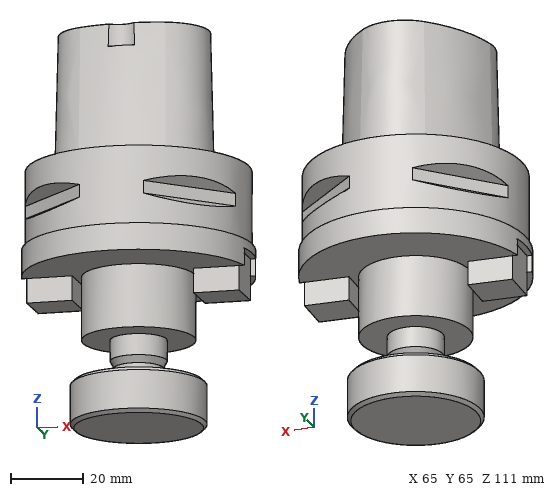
import cadquery as cq
import math


shank_length = 38.0
lobe_reach = 23.6
side_reach = 20.22
lobe_radius = 14.3
shank_taper_angle = math.degrees(math.atan(1 / 40))
lobe_angles = (90, 210, 330)

notch_radius = 5.6
notch_back_y = -17.8
notch_depth = 6.4

body_diameter = 63.0
flange_diameter = 65.0
flange_thickness = 7.6
flange_bottom_z = -30.0
flange_top_z = flange_bottom_z + flange_thickness

pocket_floor_distance = 27.8
pocket_floor_height = 3.6
pocket_center_z = -11.9
pocket_flare_angle = 30.0
pocket_angles = (45, 135, 225, 315)

key_width = 12.7
key_inner_x = 17.4
key_length = 13.0
key_top_z = -25.1
key_bottom_z = -37.0

pilot_diameter = 31.75
pilot_length = 18.0
screw_diameter = 15.88
screw_shoulder_length = 6.0
neck_diameter = 13.65
neck_chamfer_height = 2.0
neck_length = 2.0
neck_fillet = 2.0
head_diameter = 38.0
head_height = 13.0
head_chamfer = 1.0


def polar(distance, angle):
    """Point at a distance from the axis, with the angle in degrees from +X."""
    return (distance * math.cos(math.radians(angle)), distance * math.sin(math.radians(angle)))


def make_shank():
    """Tapered three-lobed shank; its outline is six tangent arcs."""
    lobe_offset = lobe_reach - lobe_radius
    reach_gap = side_reach - lobe_radius
    side_offset = (lobe_offset**2 - reach_gap**2) / (2 * reach_gap - lobe_offset)
    side_radius = side_reach + side_offset

    def joint(lobe_angle, side_angle):
        """Tangent point between a lobe and the side next to it."""
        lobe_center = polar(lobe_offset, lobe_angle)
        side_center = polar(side_offset, side_angle + 180)
        stretch = side_radius / (side_radius - lobe_radius)
        return tuple(s + (c - s) * stretch for c, s in zip(lobe_center, side_center))

    outline = cq.Workplane("XY").moveTo(*joint(lobe_angles[0], lobe_angles[0] - 60))
    for angle in lobe_angles:
        outline = outline.threePointArc(polar(lobe_reach, angle), joint(angle, angle + 60))
        outline = outline.threePointArc(polar(side_reach, angle + 60), joint(angle + 120, angle + 60))
    return outline.close().extrude(shank_length, taper=shank_taper_angle)


def make_notch():
    """Round-backed cutter for the orientation notch on the -Y side of the shank."""
    return (
        cq.Workplane("XY", origin=(0, notch_back_y - notch_radius, shank_length - notch_depth))
        .circle(notch_radius)
        .extrude(notch_depth)
    )


def make_turned_parts():
    """Body, flange, pilot and clamping screw as one turned profile."""
    screw_radius = screw_diameter / 2
    neck_radius = neck_diameter / 2
    head_radius = head_diameter / 2
    pilot_bottom_z = flange_bottom_z - pilot_length
    shoulder_z = pilot_bottom_z - screw_shoulder_length
    neck_top_z = shoulder_z - neck_chamfer_height
    neck_bottom_z = neck_top_z - neck_length
    head_top_z = neck_bottom_z - neck_fillet
    head_bottom_z = head_top_z - head_height
    arc_inset = neck_fillet * (1 - math.sqrt(0.5))
    return (
        cq.Workplane("XZ")
        .moveTo(0, 0)
        .lineTo(body_diameter / 2, 0)
        .lineTo(body_diameter / 2, flange_top_z)
        .lineTo(flange_diameter / 2, flange_top_z)
        .lineTo(flange_diameter / 2, flange_bottom_z)
        .lineTo(pilot_diameter / 2, flange_bottom_z)
        .lineTo(pilot_diameter / 2, pilot_bottom_z)
        .lineTo(screw_radius, pilot_bottom_z)
        .lineTo(screw_radius, shoulder_z)
        .lineTo(neck_radius, neck_top_z)
        .lineTo(neck_radius, neck_bottom_z)
        .threePointArc(
            (neck_radius + arc_inset, head_top_z + arc_inset),
            (neck_radius + neck_fillet, head_top_z),
        )
        .lineTo(head_radius - head_chamfer, head_top_z)
        .lineTo(head_radius, head_top_z - head_chamfer)
        .lineTo(head_radius, head_bottom_z + head_chamfer)
        .lineTo(head_radius - head_chamfer, head_bottom_z)
        .lineTo(0, head_bottom_z)
        .close()
        .revolve(360, (0, 0, 0), (0, 1, 0))
    )


def make_gripper_pocket(angle):
    """Straight groove cutter with a flat floor and two flared flanks."""
    outer = flange_diameter / 2
    half_floor = pocket_floor_height / 2
    flare = (outer - pocket_floor_distance) * math.tan(math.radians(pocket_flare_angle))
    half_mouth = half_floor + flare
    return (
        cq.Workplane("XZ")
        .polyline(
            [
                (pocket_floor_distance, pocket_center_z - half_floor),
                (outer, pocket_center_z - half_mouth),
                (outer, pocket_center_z + half_mouth),
                (pocket_floor_distance, pocket_center_z + half_floor),
            ]
        )
        .close()
        .extrude(body_diameter / 2, both=True)
        .rotate((0, 0, 0), (0, 0, 1), angle)
    )


def make_radial_block(length, bottom_z, angle):
    """Block of key width and key top height that starts at the inner end of a key."""
    return (
        cq.Workplane("XY", origin=(key_inner_x, 0, bottom_z))
        .box(length, key_width, key_top_z - bottom_z, centered=(False, True, False))
        .rotate((0, 0, 0), (0, 0, 1), angle)
    )


result = make_turned_parts().union(make_shank().cut(make_notch()))

for pocket_angle in pocket_angles:
    result = result.cut(make_gripper_pocket(pocket_angle))

slot_length = flange_diameter / 2 - key_inner_x
for key_angle in (0, 180):
    result = result.cut(make_radial_block(slot_length, flange_bottom_z, key_angle))
    result = result.union(make_radial_block(key_length, key_bottom_z, key_angle))